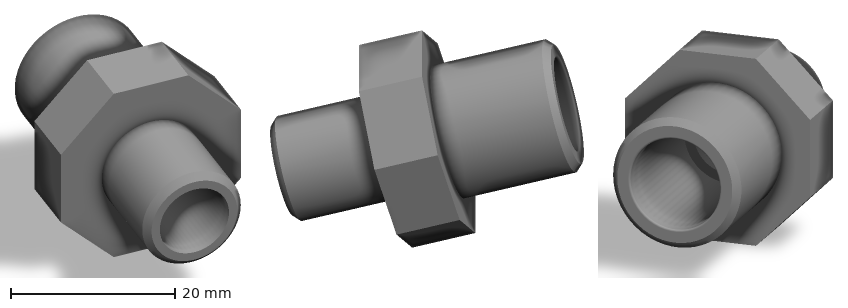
import cadquery as cq
import math

total_length = 36.0
large_length = 15.0
collar_length = 8.0
large_diameter = 16.65
small_diameter = 13.15
collar_across_flats = 24.0
end_chamfer = 0.85

wide_bore_diameter = 11.65
narrow_bore_diameter = 9.2
wide_bore_depth = large_length + collar_length / 2
bore_mouth_radius = 0.25

large_end_x = -total_length / 2
small_end_x = total_length / 2
collar_start_x = large_end_x + large_length
collar_end_x = collar_start_x + collar_length
small_length = small_end_x - collar_end_x


def cylinder(start_x, length, diameter):
    """Round bar along +X from start_x."""
    return cq.Workplane("YZ", origin=(start_x, 0, 0)).circle(diameter / 2).extrude(length)


def octagonal_collar():
    """Regular octagon with flats facing Y and Z."""
    corner_cut = collar_across_flats / (2 + math.sqrt(2))
    return (
        cq.Workplane("YZ", origin=(collar_start_x, 0, 0))
        .rect(collar_across_flats, collar_across_flats)
        .extrude(collar_length)
        .edges("|X")
        .chamfer(corner_cut)
    )


large_spigot = cylinder(large_end_x, large_length, large_diameter).faces("<X").chamfer(end_chamfer)
small_spigot = cylinder(collar_end_x, small_length, small_diameter).faces(">X").chamfer(end_chamfer)
body = large_spigot.union(octagonal_collar()).union(small_spigot)

wide_bore = cylinder(large_end_x, wide_bore_depth, wide_bore_diameter)
narrow_bore = cylinder(large_end_x, total_length, narrow_bore_diameter)
body = body.cut(wide_bore).cut(narrow_bore)

result = body.faces("<X").edges(cq.selectors.RadiusNthSelector(0)).fillet(bore_mouth_radius)